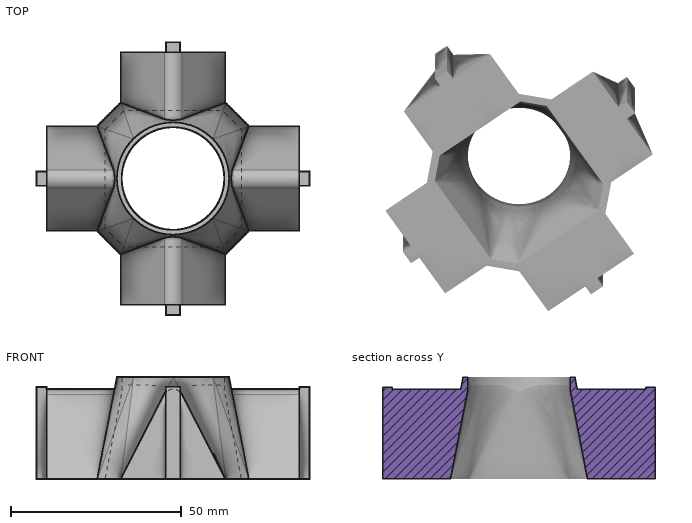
import cadquery as cq
import math

span = 79.9
height = 30.0

bore_diameter = 30.0
top_wall = 1.4
wall = 2.2
base_half_width = 22.2
wing_half_width = 15.35

crest_radius = 2.95

key_width = 4.2
key_depth = 2.95
key_height = 27.0
wing_reach = span / 2 - key_depth


def base_corners(inset):
    """Corners of the eight-sided base, with every side moved inward by inset."""
    far = base_half_width - inset
    near = wing_half_width - inset * (math.sqrt(2) - 1)
    first_quadrant = [(far, near), (near, far)]
    corners = []
    for _ in range(4):
        for x, y in first_quadrant:
            corners.append((x, y))
        first_quadrant = [(-y, x) for x, y in first_quadrant]
    return corners


def hub_solid(top_radius, inset):
    """Tight skin around the eight-sided base and the top circle.

    Each base side rises as a flat triangle to the nearest point of the circle.
    Each base corner is the tip of a cone patch that ends in an eighth of the circle.
    """
    def top_point(angle):
        turn = math.radians(angle)
        return cq.Vector(top_radius * math.cos(turn), top_radius * math.sin(turn), height)

    corners = [cq.Vector(x, y, 0) for x, y in base_corners(inset)]
    sector = 360 / len(corners)
    rim = []
    skin = []
    for index, corner in enumerate(corners):
        start = index * sector
        arc = cq.Edge.makeThreePointArc(
            top_point(start), top_point(start + sector / 2), top_point(start + sector)
        )
        rim.append(arc)
        tip = cq.Vertex.makeVertex(*corner.toTuple())
        skin.append(cq.occ_impl.shapes.loft(arc, tip))
        triangle = [corners[index - 1], corner, top_point(start)]
        skin.append(cq.Face.makeFromWires(cq.Wire.makePolygon(triangle, close=True)))
    base = cq.Face.makeFromWires(cq.Wire.makePolygon(corners, close=True))
    top = cq.Face.makeFromWires(cq.Wire.assembleEdges(rim))
    return cq.Workplane(cq.occ_impl.shapes.solid(cq.occ_impl.shapes.shell(*skin, base, top)))


def wing_pair():
    """Ridge along X that spans both sides of the hub."""
    ridge = (
        cq.Workplane("YZ")
        .polyline([(-wing_half_width, 0), (wing_half_width, 0), (0, height)])
        .close()
        .extrude(wing_reach, both=True)
    )
    return ridge.edges("|X and >Z").fillet(crest_radius)


def key_pair():
    """Upright bars standing at both ends of a wing pair."""
    bars = cq.Workplane("XY")
    for side in (-1, 1):
        bar = cq.Workplane("XY").box(key_depth, key_width, key_height, centered=(True, True, False))
        bars = bars.add(bar.translate((side * (span - key_depth) / 2, 0, 0)))
    return bars.combine()


bore_radius = bore_diameter / 2
hub_top_radius = bore_radius + top_wall
hub = hub_solid(hub_top_radius, 0)

cavity = hub_solid(hub_top_radius - wall, wall)
bore = cq.Workplane("XY").circle(bore_radius).extrude(height)

arm_pair = wing_pair().union(key_pair())
body = hub
for angle in (0, 90):
    body = body.union(arm_pair.rotate((0, 0, 0), (0, 0, 1), angle))
result = cq.Workplane(body.cut(cavity).cut(bore).solids().val())